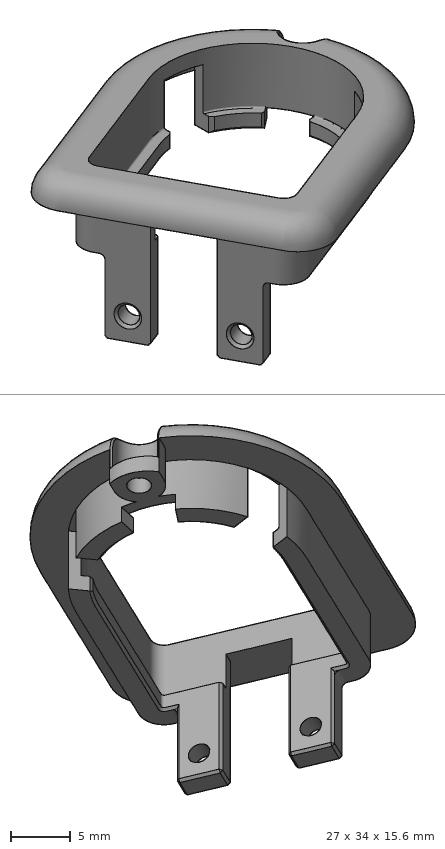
import cadquery as cq
import math


overall_length = 34.0

flange_half_width = 13.5
flange_bottom_y = -20.0
flange_corner_radius = 3.5
flange_height = 2.48
flange_round = 2.465

wall_thickness = 1.05
opening_half_width = 9.25
opening_bottom_y = -15.77
opening_corner_radius = 1.22
wall_depth = 5.2

ledge_depth = 0.95
ledge_top_z = -3.65
ledge_corner_radius = 0.27
ledge_root_fillet = 0.15
small_chamfer = 0.25
chamfer_angle = 45

slot_angle = 30.0
slot_half_width = 2.1
slot_rise = 1.0
back_half_angle = 13.5

leg_inner_x = 2.95
leg_width = 4.08
leg_bottom_z = -13.15
leg_root_fillet = 0.5
leg_hole_radius = 0.95
leg_hole_height = 2.45
leg_countersink = 0.27

eyelet_center_y = 12.2
eyelet_outer_radius = 2.2
eyelet_wall = 0.2
eyelet_rim_chamfer = 0.17
eyelet_tip_y = overall_length + flange_bottom_y
eyelet_floor_z = -2.05
eyelet_hole_radius = 1.035

wall_half_width = opening_half_width + wall_thickness
wall_bottom_y = opening_bottom_y - wall_thickness
wall_corner_radius = opening_corner_radius + wall_thickness
ledge_half_width = opening_half_width - ledge_depth
ledge_bottom_y = opening_bottom_y + ledge_depth
leg_outer_x = leg_inner_x + leg_width
leg_center_x = leg_inner_x + leg_width / 2
beyond = 2 * flange_half_width


def arch(half_width, bottom_y, corner_radius, z_low, height, taper=0):
    """Solid arch with rounded lower corners, standing on z_low."""
    corner_x = half_width - corner_radius
    corner_y = bottom_y + corner_radius
    diagonal = corner_radius * math.sqrt(0.5)
    return (
        cq.Workplane("XY", origin=(0, 0, z_low))
        .moveTo(half_width, 0)
        .threePointArc((0, half_width), (-half_width, 0))
        .lineTo(-half_width, corner_y)
        .threePointArc((-corner_x - diagonal, corner_y - diagonal), (-corner_x, bottom_y))
        .lineTo(corner_x, bottom_y)
        .threePointArc((corner_x + diagonal, corner_y - diagonal), (half_width, corner_y))
        .close()
        .extrude(height, taper=taper)
    )


def flared_gap(half_width, mouth, top_z):
    """Cutter along +Y through the wall up to top_z, flared by a chamfer from the ledge face at Y = mouth."""
    flare = 2 * small_chamfer
    right = [
        (half_width, beyond),
        (half_width, mouth + small_chamfer),
        (half_width + flare, mouth + small_chamfer - flare),
    ]
    left = [(-x, y) for x, y in reversed(right)]
    gap = cq.Workplane("XY").polyline(right + left).close().extrude(top_z + wall_depth)
    return gap.translate((0, 0, -wall_depth))


def make_flange():
    flange = arch(flange_half_width, flange_bottom_y, flange_corner_radius, 0, flange_height)
    return flange.faces(">Z").edges().fillet(flange_round)


def make_leg_gap():
    return flared_gap(leg_inner_x, -ledge_bottom_y, 0).rotate((0, 0, 0), (0, 0, 1), 180)


def make_shoulder_slot(side):
    """Slot on one shoulder of the arch; it rises into the flange but stays within the wall."""
    mouth = math.sqrt(ledge_half_width**2 - slot_half_width**2)
    slot = flared_gap(slot_half_width, mouth, slot_rise)
    slot = slot.rotate((0, 0, 0), (0, 0, 1), side * (90 - slot_angle))
    return slot.intersect(cq.Workplane("XY").circle(wall_half_width).extrude(2 * beyond, both=True))


def make_sector():
    """Wedge at the top of the arch where the wall is shallower; it flares at the ledge it interrupts."""
    angle = math.radians(back_half_angle)
    flare_radius = ledge_half_width + small_chamfer
    flare_angle = angle - math.radians(chamfer_angle)
    flare_length = 2 * small_chamfer
    outer_x = beyond * math.tan(angle)
    edge_x = flare_radius * math.sin(angle)
    edge_y = flare_radius * math.cos(angle)
    tip_x = edge_x - flare_length * math.sin(flare_angle)
    tip_y = edge_y - flare_length * math.cos(flare_angle)
    right = [(outer_x, beyond), (edge_x, edge_y), (tip_x, tip_y)]
    left = [(-x, y) for x, y in reversed(right)]
    base = cq.Workplane("XY", origin=(0, 0, -wall_depth))
    wedge = base.polyline(right + left).close().extrude(wall_depth)
    kept_wall = (
        cq.Workplane("XY", origin=(0, 0, ledge_top_z))
        .circle(beyond)
        .circle(opening_half_width)
        .extrude(-ledge_top_z)
    )
    return wedge.cut(kept_wall)


def make_opening():
    """Void above the ledge, the narrower void inside the ledge and the chamfer at its foot."""
    above = arch(
        opening_half_width, opening_bottom_y, opening_corner_radius, ledge_top_z, flange_height - ledge_top_z
    )
    above = above.faces("<Z").edges().fillet(ledge_root_fillet)
    inside = arch(ledge_half_width, ledge_bottom_y, ledge_corner_radius, -wall_depth, wall_depth)
    foot = arch(
        ledge_half_width + small_chamfer,
        ledge_bottom_y - small_chamfer,
        ledge_corner_radius + small_chamfer,
        -wall_depth,
        small_chamfer,
        taper=chamfer_angle,
    )
    return above.union(inside).union(foot)


def make_leg():
    """Right-hand leg, from the ledge down, with a countersunk cross hole."""
    thickness = ledge_bottom_y - wall_bottom_y
    leg = cq.Workplane("XY").box(leg_width, thickness, ledge_top_z - leg_bottom_z, centered=False)
    leg = leg.translate((leg_inner_x, wall_bottom_y, leg_bottom_z))
    leg = leg.edges("(>Y and |Z) or (<Z and |Y) or (<Z and >Y)").chamfer(small_chamfer)

    root = (
        cq.Workplane("XZ", origin=(leg_outer_x, wall_bottom_y, -wall_depth))
        .lineTo(leg_root_fillet, 0)
        .radiusArc((0, -leg_root_fillet), -leg_root_fillet)
        .close()
        .extrude(-(thickness - small_chamfer))
    )
    hole_z = leg_bottom_z + leg_hole_height
    axis = cq.Workplane("XZ", origin=(leg_center_x, wall_bottom_y, hole_z))
    hole = axis.circle(leg_hole_radius).extrude(-thickness)
    rim = axis.circle(leg_hole_radius + leg_countersink)
    countersink = rim.extrude(-leg_countersink, taper=chamfer_angle)
    return leg.union(root).cut(hole).cut(countersink)


def eyelet_outline(radius, end_y, z_low):
    """U-shaped profile, round towards the opening and straight out to end_y."""
    return (
        cq.Workplane("XY", origin=(0, 0, z_low))
        .moveTo(-radius, end_y)
        .lineTo(-radius, eyelet_center_y)
        .threePointArc((0, eyelet_center_y - radius), (radius, eyelet_center_y))
        .lineTo(radius, end_y)
    )


def make_eyelet_shell():
    rim_y = math.sqrt(flange_half_width**2 - eyelet_outer_radius**2)
    floor = (
        eyelet_outline(eyelet_outer_radius, rim_y, ledge_top_z)
        .threePointArc((0, eyelet_tip_y), (-eyelet_outer_radius, rim_y))
        .close()
        .extrude(eyelet_floor_z - ledge_top_z)
    )
    sleeve = (
        eyelet_outline(eyelet_outer_radius, rim_y, eyelet_floor_z)
        .threePointArc((0, flange_half_width), (-eyelet_outer_radius, rim_y))
        .close()
        .extrude(-eyelet_floor_z)
    )
    return floor.union(sleeve)


def make_eyelet_void():
    """Pocket open to the top and to the outside, over a round hole."""
    inner_radius = eyelet_outer_radius - eyelet_wall
    pocket = eyelet_outline(inner_radius, beyond, eyelet_floor_z).close()
    pocket = pocket.extrude(flange_height - eyelet_floor_z)
    hole = cq.Workplane("XY", origin=(0, eyelet_center_y, ledge_top_z)).circle(eyelet_hole_radius)
    return pocket.union(hole.extrude(-ledge_top_z))


def chamfer_eyelet_rim(body):
    """Chamfer the edges where the eyelet pocket breaks through the flange."""
    rim_box = cq.selectors.BoxSelector(
        (-eyelet_outer_radius, eyelet_center_y - eyelet_outer_radius, eyelet_rim_chamfer),
        (eyelet_outer_radius, flange_half_width, 2 * flange_height),
    )
    return body.edges(rim_box).edges("not |Z").chamfer(eyelet_rim_chamfer)


wall = arch(wall_half_width, wall_bottom_y, wall_corner_radius, -wall_depth, wall_depth)
frame = make_flange().union(wall).cut(make_opening()).cut(make_leg_gap())
for side in (-1, 1):
    frame = frame.cut(make_shoulder_slot(side))
frame = frame.cut(make_sector()).union(make_eyelet_shell()).cut(make_eyelet_void())
frame = chamfer_eyelet_rim(frame)
leg = make_leg()
result = frame.union(leg).union(leg.mirror("YZ"))